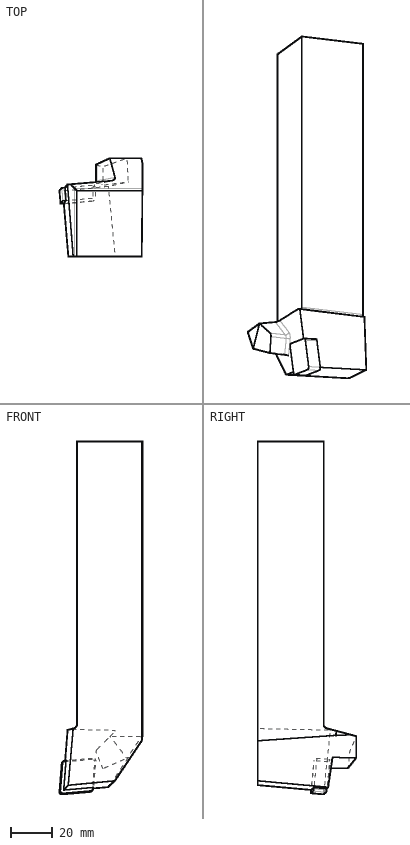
import cadquery as cq
import math

shank_size = 32.0
shank_left = 8.5
shank_right = 40.5
front_right = 40.1
total_height = 171.4
shank_base = 13.7

rake_point = (-0.05, 31.9, -0.12)
rake_lean_x = 0.085
rake_lean_z = 0.09
side_angle = 5.0
head_setback_x = 1.7
head_setback_z = 1.7
head_reach = 68.5

ledge_level = 32.5
ledge_slope = math.tan(math.radians(15))
ledge_fillet = 1.7
corner_cut_level = 26.0
corner_cut_slope = 1.49
corner_cut_twist = 0.054

lug_front = 25.7
lug_back = 47.8
lug_nose_x = 17.5
lug_nose_z = 21.2
lug_lip_x = 21.0
lug_lip_z = 12.7
lug_underside_z = 21.0
lug_top_x = 39.4
lug_nose_radius = 1.7
lug_root_fillet = 1.5
lug_bevel_point = (24.3, lug_back, 28.6)
lug_bevel_normal = (-0.26, 1, -0.2)

insert_side = 16.1
insert_thickness = 6.3
insert_radius = 1.2

oversize = 257.0


def half_space(point, outward):
    """Large block filling the outer side of the plane through point."""
    plane = cq.Plane(origin=point, normal=outward)
    return cq.Workplane(plane).rect(2 * oversize, 2 * oversize).extrude(oversize)


def nose_prism(corner, side, depth):
    """Rhombus on the rake plane, extruded square to that plane towards -Y."""
    plane = cq.Plane(
        origin=rake_point, xDir=(1, rake_lean_x, 0), normal=(rake_lean_x, -1, rake_lean_z)
    )
    along = side * math.cos(math.radians(side_angle))
    rise = side * math.sin(math.radians(side_angle))
    x, z = corner
    outline = [(x, z), (x + along, z + rise), (x + along + rise, z + rise + along), (x + rise, z + along)]
    return cq.Workplane(plane).polyline(outline).close().extrude(depth)


def make_insert():
    prism = nose_prism((0, 0), insert_side, insert_thickness)
    side_edges = cq.selectors.ParallelDirSelector(cq.Vector(rake_lean_x, -1, rake_lean_z), tolerance=0.01)
    return prism.edges(side_edges).fillet(insert_radius)


def make_shank():
    outline = [(shank_left, 0), (front_right, 0), (shank_right, shank_size), (shank_left, shank_size)]
    height = total_height - shank_base
    return cq.Workplane("XY").workplane(offset=shank_base).polyline(outline).close().extrude(height)


def make_lug():
    """Tilted lug, with its full length left square until the root is rounded."""
    top_z = lug_nose_z + lug_top_x - lug_nose_x
    section = [
        (lug_nose_x, lug_nose_z),
        (lug_lip_x, lug_lip_z),
        (shank_right, lug_underside_z),
        (shank_right, top_z),
        (lug_top_x, top_z),
    ]
    lug = cq.Workplane("XZ", origin=(0, lug_back, 0)).polyline(section).close().extrude(lug_back - lug_front)
    nose_edge = cq.selectors.NearestToPointSelector((lug_nose_x, (lug_front + lug_back) / 2, lug_nose_z))
    return lug.edges(nose_edge).fillet(lug_nose_radius)


def rake_y(x, z):
    """Y of the rake plane at the given X and Z."""
    return rake_point[1] + rake_lean_x * (x - rake_point[0]) + rake_lean_z * (z - rake_point[2])


def lug_root_edges():
    """Selector for the top, rounded nose and nose face where the lug rises from the rake plane."""
    top_x = (lug_nose_x + lug_top_x) / 2
    top_z = lug_nose_z + top_x - lug_nose_x
    face_x = (lug_nose_x + lug_lip_x) / 2
    face_z = (lug_nose_z + lug_lip_z) / 2
    spots = [(top_x, top_z), (lug_nose_x, lug_nose_z), (face_x, face_z)]
    picks = [cq.selectors.NearestToPointSelector((x, rake_y(x, z), z)) for x, z in spots]
    return cq.selectors.SumSelector(cq.selectors.SumSelector(picks[0], picks[1]), picks[2])


def make_head():
    nose = nose_prism((head_setback_x, head_setback_z), head_reach, head_reach)
    head = nose.union(make_lug())
    head = head.edges(lug_root_edges()).fillet(lug_root_fillet)
    head = head.cut(half_space(lug_bevel_point, lug_bevel_normal))
    head = head.cut(half_space((0, 0, 0), (0, -1, 0)))
    side_direction = (shank_size, front_right - shank_right, 0)
    head = head.cut(half_space((front_right, 0, 0), side_direction))
    head = head.cut(half_space((0, shank_size, ledge_level), (0, ledge_slope, 1)))
    return head.cut(half_space((shank_left, 0, ledge_level), (-ledge_slope, 0, 1)))


def make_holder(insert):
    holder = make_head().union(make_shank())
    corner_normal = (corner_cut_slope, corner_cut_twist, -1)
    holder = holder.cut(half_space((front_right, 0, corner_cut_level), corner_normal))
    left_root = cq.selectors.NearestToPointSelector((shank_left, shank_size / 2, ledge_level))
    back_root = cq.selectors.NearestToPointSelector(
        ((shank_left + shank_right) / 2, shank_size, ledge_level)
    )
    holder = holder.edges(cq.selectors.SumSelector(left_root, back_root)).fillet(ledge_fillet)
    return holder.cut(insert)


insert = make_insert()
holder = make_holder(insert)
result = cq.Compound.makeCompound([holder.val(), insert.val()])